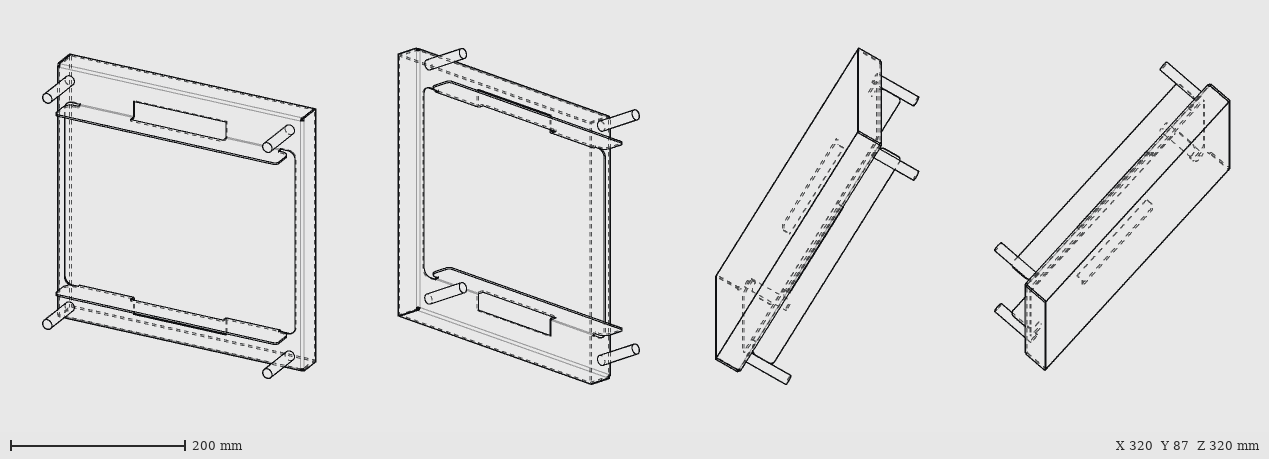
import cadquery as cq
import math

cover_side = 320.0
cover_depth = 32.0
sheet = 2.0
inner_bend = 1.0
outer_bend = inner_bend + sheet
corner_gap = 0.15

window_half_width = 150.0
window_half_height = 116.0
window_corner = 10.0
notch_half_width = 60.0
notch_half_height = 134.7

flange_half_width = 144.5
flange_reach = 35.0
flange_setback = 3.5
flange_root_corner = 10.0
flange_tip_corner = 5.0
bend_half_width = 130.2
flange_notch_depth = 7.5

post_diameter = 12.0
post_length = 55.0
post_offset = 143.0

inner_side = cover_side - 2 * sheet


def block(x_size, y_start, y_end, z_size):
    """Box centred on the Y axis, running from y_start to y_end."""
    centre_y = (y_start + y_end) / 2
    return cq.Workplane("XY").box(x_size, y_end - y_start, z_size).translate((0, centre_y, 0))


def interior():
    """Space inside the cover, rounded at the front to follow the inside of the bends."""
    return block(inner_side, sheet, cover_depth, inner_side).faces("<Y").edges().fillet(inner_bend)


def window():
    """Cutter for the rounded window and its central notches."""
    opening = block(2 * window_half_width, 0, sheet, 2 * window_half_height).edges("|Y").fillet(window_corner)
    notches = block(2 * notch_half_width, 0, sheet, 2 * notch_half_height)
    return opening.union(notches)


def corner_cuts():
    """Bend reliefs at the four front corners and the slits behind them."""
    cuts = cq.Workplane("XY")
    relief_centre = (cover_side - outer_bend) / 2
    slit_x = (inner_side - corner_gap) / 2
    for x_sign in (-1, 1):
        for z_sign in (-1, 1):
            relief = block(outer_bend, 0, outer_bend, outer_bend)
            cuts = cuts.add(relief.translate((x_sign * relief_centre, 0, z_sign * relief_centre)))
            slit = block(corner_gap, 0, cover_depth, outer_bend)
            cuts = cuts.add(slit.translate((x_sign * slit_x, 0, z_sign * relief_centre)))
    return cuts.combine()


def top_flange():
    """Flange at the top of the window, with the two bends that join it to the front face."""
    top = window_half_height - inner_bend
    leaf = (
        block(2 * flange_half_width, -flange_reach, -flange_setback, sheet)
        .edges("|Z and >Y")
        .fillet(flange_root_corner)
        .edges("|Z and <Y")
        .fillet(flange_tip_corner)
    )
    root_end = -flange_setback - flange_root_corner
    leaf = leaf.union(block(2 * bend_half_width, root_end, -inner_bend, sheet))
    leaf = leaf.cut(block(2 * notch_half_width, -flange_notch_depth, 0, sheet))
    leaf = leaf.translate((0, 0, top - sheet / 2))

    diagonal = math.sqrt(0.5)
    bend_length = bend_half_width - notch_half_width
    bend = (
        cq.Workplane("YZ")
        .moveTo(0, window_half_height)
        .threePointArc(
            (-inner_bend * (1 - diagonal), window_half_height - inner_bend * diagonal),
            (-inner_bend, top),
        )
        .lineTo(-inner_bend, top - sheet)
        .threePointArc(
            (-inner_bend + outer_bend * diagonal, window_half_height - outer_bend * diagonal),
            (sheet, window_half_height),
        )
        .close()
        .extrude(bend_length)
    )
    for x_start in (-bend_half_width, notch_half_width):
        leaf = leaf.union(bend.translate((x_start, 0, 0)))
    return leaf


def post():
    """Post at the upper right corner, standing forward from the front face."""
    return (
        cq.Workplane("XZ")
        .circle(post_diameter / 2)
        .extrude(post_length)
        .translate((post_offset, 0, post_offset))
    )


def make_cover():
    """Bent cover with its window, flanges and four posts."""
    cover = block(cover_side, 0, cover_depth, cover_side).faces("<Y").edges().fillet(outer_bend)
    cover = cover.cut(interior()).cut(window()).cut(corner_cuts())
    flange = top_flange()
    cover = cover.union(flange).union(flange.mirror("XY"))
    for angle in (0, 90, 180, 270):
        cover = cover.union(post().rotate((0, 0, 0), (0, 1, 0), angle))
    return cover


def make_core():
    """Core that fills the cover and shows through the window."""
    return interior()


cover = make_cover()
core = make_core()

result = cq.Compound.makeCompound([cover.solids().val(), core.solids().val()])